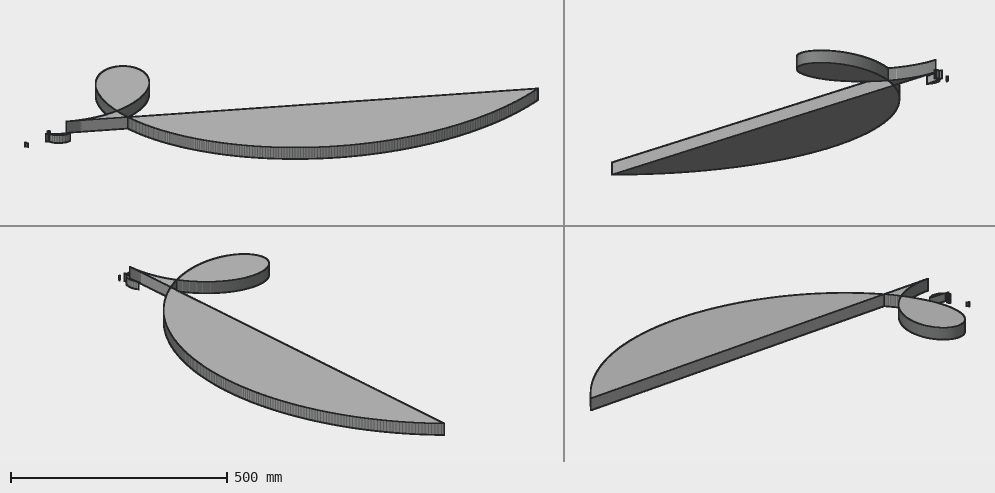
import cadquery as cq
import math


overall_length = 1090.0

small_vertex_count = 6
medium_vertex_count = 28
large_vertex_count = 496

corner_spacing_growths = 50
layer_growths = 10

small_layers = 1
medium_layers = 2
large_layers = 3
gap_layers = 1

neck_side = 0.1


def spiral_outline(vertex_count, growth):
    """Vertices of one full turn, the radius growing by the same amount at each vertex."""
    angle_step = 2 * math.pi / vertex_count
    return [
        (
            k * growth * (1 + math.cos(k * angle_step)),
            k * growth * (1 + math.sin(k * angle_step)),
        )
        for k in range(vertex_count)
    ]


def edge_crossing(start_a, end_a, start_b, end_b):
    """Point where edges a and b cross between their ends, or None."""
    ax, ay = end_a[0] - start_a[0], end_a[1] - start_a[1]
    bx, by = end_b[0] - start_b[0], end_b[1] - start_b[1]
    dx, dy = start_b[0] - start_a[0], start_b[1] - start_a[1]
    turn = ax * by - ay * bx
    if turn == 0:
        return None
    along_a = (dx * by - dy * bx) / turn
    along_b = (dx * ay - dy * ax) / turn
    if 0 < along_a < 1 and 0 < along_b < 1:
        return (start_a[0] + along_a * ax, start_a[1] + along_a * ay)
    return None


def split_into_lobes(outline):
    """Lobes that do not cross themselves, and the crossing points between them."""
    count = len(outline)
    for i in range(count):
        for j in range(i + 2, count):
            if i == 0 and j == count - 1:
                continue
            crossing = edge_crossing(outline[i], outline[i + 1], outline[j], outline[(j + 1) % count])
            if crossing is None:
                continue
            loop = [crossing] + outline[i + 1 : j + 1]
            remainder = outline[: i + 1] + [crossing] + outline[j + 1 :]
            loop_lobes, loop_crossings = split_into_lobes(loop)
            other_lobes, other_crossings = split_into_lobes(remainder)
            return loop_lobes + other_lobes, [crossing] + loop_crossings + other_crossings
    return [outline], []


def spiral_plate(vertex_count, growth, corner_x, bottom_z, thickness):
    """Plate with a closed spiral outline whose first vertex is its corner at y = 0."""
    base = cq.Workplane("XY", origin=(corner_x, 0, bottom_z))
    lobes, crossings = split_into_lobes(spiral_outline(vertex_count, growth))
    lobe_solids = [base.polyline(lobe).close().extrude(thickness).val() for lobe in lobes]
    necks = base.pushPoints(crossings).rect(neck_side, neck_side).extrude(thickness).vals()
    fused = lobe_solids[0].fuse(*lobe_solids[1:], *necks)
    return cq.Workplane(fused.Solids()[0])


large_reach_growths = spiral_outline(large_vertex_count, 1)[-1][0]
radius_growth = overall_length / (2 * corner_spacing_growths + large_reach_growths)
corner_spacing = corner_spacing_growths * radius_growth
layer = layer_growths * radius_growth

small_thickness = small_layers * layer
medium_thickness = medium_layers * layer
large_thickness = large_layers * layer
gap = gap_layers * layer

medium_corner_x = corner_spacing
large_corner_x = 2 * corner_spacing
medium_bottom = small_thickness + gap
large_bottom = medium_bottom + medium_thickness + gap

small_plate = spiral_plate(small_vertex_count, radius_growth, 0, 0, small_thickness)
medium_plate = spiral_plate(
    medium_vertex_count, radius_growth, medium_corner_x, medium_bottom, medium_thickness
)
large_plate = spiral_plate(
    large_vertex_count, radius_growth, large_corner_x, large_bottom, large_thickness
)

result = cq.Compound.makeCompound([small_plate.val(), medium_plate.val(), large_plate.val()])